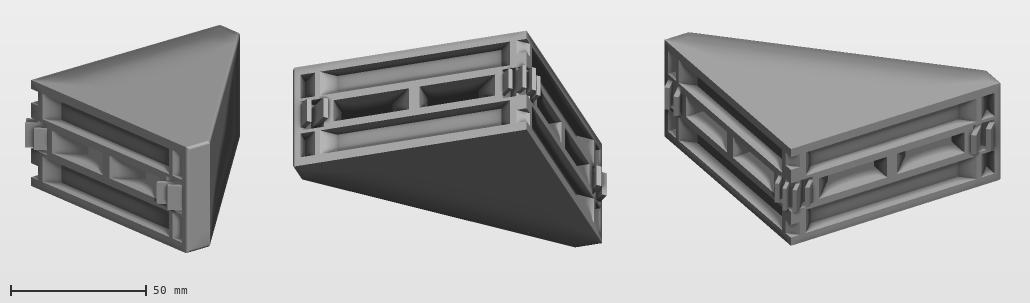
import cadquery as cq
import math

HEIGHT = 42.0
LEG_LENGTH = 88.0
LEG_THICKNESS = 9.5
CAP_THICKNESS = 3.1
CAP_ROUNDING = 1.1
HALF_BEND = math.pi / 8

RIM = 3.5
SLOT_HEIGHT = 10.1
SLOT_DEPTH = 5.0
SLOT_START = 6.5
SLOT_END = 80.3
END_SLOT_START = 82.3
CORNER_NOTCH_HEIGHT = 5.5

WINDOW_HEIGHT = 8.9
WINDOW_LENGTH = 29.3
WINDOW_STARTS = (12.2, 45.75)

POCKET_HEIGHT = 12.15
CORNER_CUT = 3.9
CORNER_POCKET_END = 9.3
CORNER_POCKET_BACK = 11.0
END_POCKET_START = 78.8
TALL_TAB_HEIGHT = 9.5
SHORT_TAB_HEIGHT = 8.3
CORNER_TAB_WIDTH = 2.2
END_TAB_WIDTH = 2.85
END_TAB_GAP = 3.6
CORNER_TAB_REACH = 3.4
END_TAB_REACH = 3.8

BACK_WALL = 3.1

SLOT_MIDDLE = HEIGHT / 2 - RIM - SLOT_HEIGHT / 2
NOTCH_MIDDLE = HEIGHT / 2 - RIM - CORNER_NOTCH_HEIGHT / 2


def prism(points, height, middle=0.0):
    """Upright prism over an outline, centred on the given height."""
    base = cq.Workplane("XY", origin=(0, 0, middle - height / 2))
    return base.polyline(points).close().extrude(height)


def on_both_legs(shape):
    """The shape on the X leg together with its mirror image on the Y leg."""
    swapped = shape.rotate((0, 0, 0), (0, 0, 1), 90).mirror("YZ")
    return shape.union(swapped)


def diagonal_point(difference, total):
    """The point where x - y and x + y have the given values."""
    return ((total + difference) / 2, (total - difference) / 2)


def diagonal_block(start, end, front, back, height):
    """Block along the corner diagonal: x - y from start to end, x + y from front to back."""
    corners = ((start, front), (end, front), (end, back), (start, back))
    return prism([diagonal_point(*corner) for corner in corners], height)


def slots():
    """Long and end recesses with 45 degree end walls, above and below the middle."""
    long_slot = [
        (SLOT_START, 0),
        (SLOT_END, 0),
        (SLOT_END - SLOT_DEPTH, SLOT_DEPTH),
        (SLOT_START + SLOT_DEPTH, SLOT_DEPTH),
    ]
    end_slot = [
        (END_SLOT_START, 0),
        (LEG_LENGTH, 0),
        (LEG_LENGTH, LEG_LENGTH - END_SLOT_START),
    ]
    cuts = cq.Workplane("XY")
    for middle in (-SLOT_MIDDLE, SLOT_MIDDLE):
        for outline in (long_slot, end_slot):
            cuts = cuts.add(prism(outline, SLOT_HEIGHT, middle))
    return cuts.combine()


def windows():
    """Openings through the leg, each with a 45 degree wall on the corner side."""
    cuts = cq.Workplane("XY")
    for start in WINDOW_STARTS:
        end = start + WINDOW_LENGTH
        outline = [
            (start, 0),
            (end, 0),
            (end, LEG_THICKNESS),
            (start + LEG_THICKNESS, LEG_THICKNESS),
        ]
        cuts = cuts.add(prism(outline, WINDOW_HEIGHT))
    return cuts.combine()


def corner_cuts():
    """Triangular notches across the outer corner: two outer ones and the middle pocket."""
    triangle = [(0, 0), (CORNER_CUT, 0), (0, CORNER_CUT)]
    cuts = prism(triangle, POCKET_HEIGHT)
    for middle in (-NOTCH_MIDDLE, NOTCH_MIDDLE):
        cuts = cuts.union(prism(triangle, CORNER_NOTCH_HEIGHT, middle))
    return cuts


def tab_pockets():
    """Pockets for the tabs beside the corner and at the end of the leg."""
    corner_pocket = diagonal_block(
        CORNER_CUT, CORNER_POCKET_END, CORNER_CUT, CORNER_POCKET_BACK, POCKET_HEIGHT
    )
    end_pocket = prism(
        [
            (END_POCKET_START, 0),
            (LEG_LENGTH, 0),
            diagonal_point(END_POCKET_START, LEG_LENGTH),
        ],
        POCKET_HEIGHT,
    )
    return corner_pocket.union(end_pocket)


def tab(start, end, reach, back, height):
    """Diagonal tab standing out of the leg face, rooted in the back of its pocket."""
    return diagonal_block(start, end, end - 2 * reach, back, height)


def tabs():
    """The two tabs beside the corner and the two at the end of the leg."""
    tall_corner = tab(
        CORNER_CUT - CORNER_TAB_WIDTH, CORNER_CUT, CORNER_TAB_REACH, CORNER_CUT, TALL_TAB_HEIGHT
    )
    short_corner = tab(
        CORNER_POCKET_END - CORNER_TAB_WIDTH,
        CORNER_POCKET_END,
        CORNER_TAB_REACH,
        CORNER_POCKET_BACK,
        SHORT_TAB_HEIGHT,
    )
    short_end_stop = END_POCKET_START + END_TAB_WIDTH
    short_end = tab(
        END_POCKET_START, short_end_stop, END_TAB_REACH, LEG_LENGTH, SHORT_TAB_HEIGHT
    )
    tall_end = tab(
        short_end_stop + END_TAB_GAP, LEG_LENGTH, END_TAB_REACH, LEG_LENGTH, TALL_TAB_HEIGHT
    )
    return tall_corner.union(short_corner).union(short_end).union(tall_end)


def make_angle():
    """L-shaped angle with its recesses, windows and tabs."""
    outline = [
        (0, 0),
        (LEG_LENGTH, 0),
        (LEG_LENGTH, LEG_THICKNESS),
        (LEG_THICKNESS, LEG_THICKNESS),
        (LEG_THICKNESS, LEG_LENGTH),
        (0, LEG_LENGTH),
    ]
    body = prism(outline, HEIGHT)
    for cuts in (slots(), windows(), tab_pockets()):
        body = body.cut(on_both_legs(cuts))
    return body.cut(corner_cuts()).union(on_both_legs(tabs()))


def inner_triangle(far_end, height):
    """Right triangle in the inner corner of the angle, reaching to far_end along each leg."""
    corner = LEG_THICKNESS
    return prism([(corner, corner), (far_end, corner), (corner, far_end)], height)


def make_gusset():
    """Triangular gusset between the legs, hollow behind the windows."""
    cavity_end = LEG_LENGTH - BACK_WALL * math.sqrt(2)
    return inner_triangle(LEG_LENGTH, HEIGHT).cut(inner_triangle(cavity_end, WINDOW_HEIGHT))


def make_cap():
    """Cap of even thickness over the leg ends and the long side of the gusset."""
    outer_end = LEG_LENGTH + CAP_THICKNESS
    outer_bend = LEG_THICKNESS + CAP_THICKNESS * math.tan(HALF_BEND)
    outline = [
        (LEG_LENGTH, 0),
        (outer_end, 0),
        (outer_end, outer_bend),
        (outer_bend, outer_end),
        (0, outer_end),
        (0, LEG_LENGTH),
        (LEG_THICKNESS, LEG_LENGTH),
        (LEG_LENGTH, LEG_THICKNESS),
    ]
    cap = prism(outline, HEIGHT)
    rim = cap.faces(">X or >Y or >(1,1,0)").edges("#Z")
    side_edges = cap.faces(">X").edges("<Y").add(cap.faces(">Y").edges("<X"))
    return rim.add(side_edges).fillet(CAP_ROUNDING)


angle = make_angle()
gusset = make_gusset()
cap = make_cap()

result = cq.Compound.makeCompound([angle.val(), gusset.val(), cap.val()])